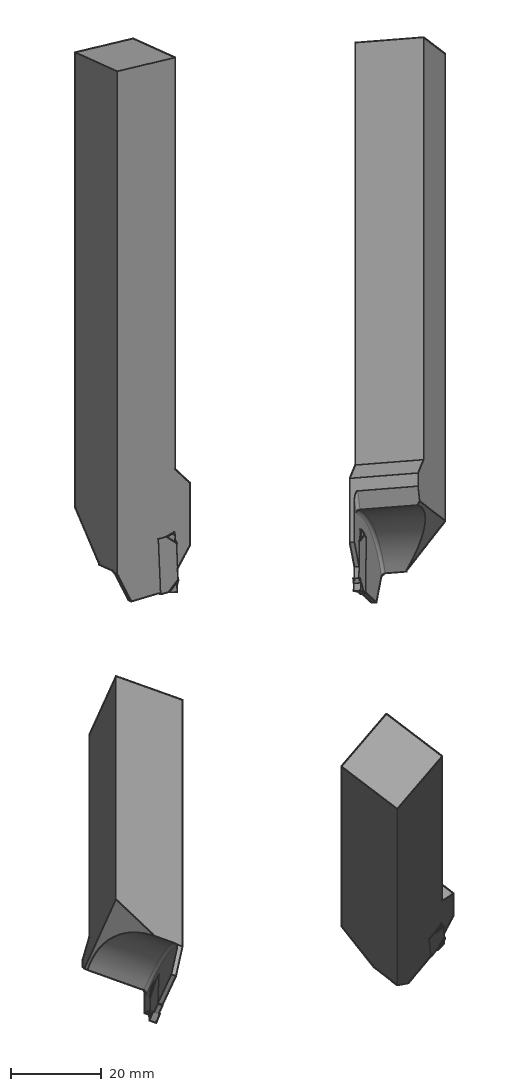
import cadquery as cq
import math

total_height = 125.0
shank_width = 15.9
shank_depth = 15.9
head_depth = 19.9
step_top_z = 28.8
step_bottom_z = 24.8
head_heel_z = 10.1
head_front_z = 7.5
blade_bottom_front = (3.9, 0.2)
blade_bottom_back = (13.1, 0.8)

flank_top_z = 18.6
flank_bottom_x = 9.0
flank_bottom_z = 8.0

blade_thickness = 1.1
blade_x = shank_width - blade_thickness
relief_radius = 18.0
relief_center_y = 16.2
relief_center_z = 0.0
relief_corner_y = 18.4
relief_back_z = 21.8
relief_fillet = 0.8
overcut = 6.2

insert_length = 14.1
insert_tip_y = 16.2
insert_tilt = 2.8
insert_back_depth = 4.4
insert_end_inset = 0.5
insert_rake_rise = 0.5
rake_start = 1.8
rake_end = 2.8
tip_depth = 2.2
tip_side_clearance = 0.2


def prism(points, start_x, end_x):
    """Extrude a closed YZ outline from start_x to end_x."""
    outline = cq.Workplane("YZ", origin=(start_x, 0, 0)).polyline(points).close()
    return outline.extrude(end_x - start_x)


def place_insert(body):
    """Lean a body around the lower cutting tip and move it into the blade."""
    return body.rotate((0, 0, 0), (1, 0, 0), insert_tilt).translate((0, insert_tip_y, 0))


def make_insert():
    middle_z = insert_length / 2
    lower_half = [
        (-insert_back_depth, insert_end_inset),
        (-tip_depth, insert_end_inset),
        (0, 0),
        (0, rake_start),
        (insert_rake_rise, rake_end),
    ]
    upper_half = [(y, insert_length - z) for y, z in reversed(lower_half)]
    insert = prism(lower_half + upper_half, blade_x, shank_width)

    tip_outline = [(-tip_depth, insert_end_inset), (0, 0), (0, rake_start), (insert_rake_rise, rake_end)]
    tip = prism(tip_outline, blade_x - tip_side_clearance, shank_width + tip_side_clearance)
    insert = insert.union(tip)
    insert = insert.union(tip.mirror("XY", (0, 0, middle_z)))
    return place_insert(insert)


def make_holder_blank():
    outline = [
        (0, total_height),
        (shank_depth, total_height),
        (shank_depth, step_top_z),
        (head_depth, step_bottom_z),
        (head_depth, head_heel_z),
        blade_bottom_back,
        blade_bottom_front,
        (0, head_front_z),
    ]
    return prism(outline, 0, shank_width)


def make_flank_cutter():
    """Wedge below the sloped flank as far as its lower edge."""
    outline = [
        (0, flank_top_z),
        (flank_bottom_x, flank_bottom_z),
        (flank_bottom_x, -overcut),
        (-overcut, -overcut),
        (-overcut, flank_top_z),
    ]
    return cq.Workplane("XZ").polyline(outline).close().extrude(-(head_depth + overcut))


def relief_z(y):
    """Height of the round relief wall at depth y."""
    return relief_center_z + math.sqrt(relief_radius**2 - (y - relief_center_y) ** 2)


def make_relief_cutter():
    start_y = relief_center_y - relief_radius
    middle_y = relief_center_y - relief_radius * math.sqrt(0.5)
    back_y = head_depth + overcut
    back_slope = (relief_back_z - relief_z(relief_corner_y)) / (head_depth - relief_corner_y)
    return (
        cq.Workplane("YZ", origin=(-overcut, 0, 0))
        .moveTo(start_y, relief_center_z)
        .threePointArc((middle_y, relief_z(middle_y)), (relief_corner_y, relief_z(relief_corner_y)))
        .lineTo(back_y, relief_back_z + overcut * back_slope)
        .lineTo(back_y, -overcut)
        .lineTo(start_y, -overcut)
        .close()
        .extrude(blade_x + overcut)
        .faces(">X")
        .edges("%CIRCLE or >Z")
        .fillet(relief_fillet)
    )


def make_holder(insert):
    holder = make_holder_blank()
    holder = holder.cut(make_flank_cutter())
    holder = holder.cut(make_relief_cutter())
    return holder.cut(insert)


insert = make_insert()
holder = make_holder(insert)
result = cq.Compound.makeCompound([holder.val(), insert.val()])